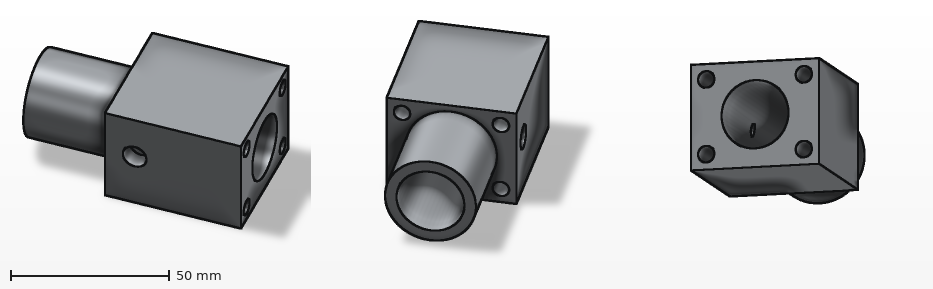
import cadquery as cq

total_length = 76.0
block_length = 46.0
block_width = 42.0
block_height = 34.0

tube_length = total_length - block_length
tube_diameter = 29.5
bore_diameter = 22.0

bolt_diameter = 5.3
bolt_spacing_y = 32.0
bolt_spacing_z = 24.0

port_setback = 10.0
port_height = 2.0
port_mouth_diameter = 8.0
port_hole_diameter = 4.0
port_mouth_depth = 6.0
port_cone_depth = (port_mouth_diameter - port_hole_diameter) / 2


def make_body():
    """Rectangular block with a round tube on its -X face, along the X axis."""
    block = cq.Workplane("XY").box(block_length, block_width, block_height)
    tube_plane = block.faces("<X").workplane(centerOption="CenterOfMass")
    return tube_plane.circle(tube_diameter / 2).extrude(tube_length)


def make_bore():
    """Cylinder that opens the tube and block from end to end."""
    tube_end = cq.Workplane("YZ", origin=(-block_length / 2 - tube_length, 0, 0))
    return tube_end.circle(bore_diameter / 2).extrude(total_length)


def make_bolt_holes():
    """Cylinders through the four corners of the block."""
    return (
        cq.Workplane("YZ", origin=(-block_length / 2, 0, 0))
        .rect(bolt_spacing_y, bolt_spacing_z, forConstruction=True)
        .vertices()
        .circle(bolt_diameter / 2)
        .extrude(block_length)
    )


def make_port():
    """Wide hole from the -Y side that tapers to a narrow hole opening into the bore."""
    mouth = cq.Vector(-block_length / 2 + port_setback, -block_width / 2, port_height)
    inward = cq.Vector(0, 1, 0)
    cone_start = mouth + inward * port_mouth_depth
    wide_hole = cq.Solid.makeCylinder(port_mouth_diameter / 2, port_mouth_depth, mouth, inward)
    cone = cq.Solid.makeCone(
        port_mouth_diameter / 2, port_hole_diameter / 2, port_cone_depth, cone_start, inward
    )
    narrow_hole = cq.Solid.makeCylinder(port_hole_diameter / 2, block_width / 2, mouth, inward)
    return cq.Workplane(wide_hole.fuse(cone, narrow_hole))


result = make_body().cut(make_bore()).cut(make_bolt_holes()).cut(make_port())